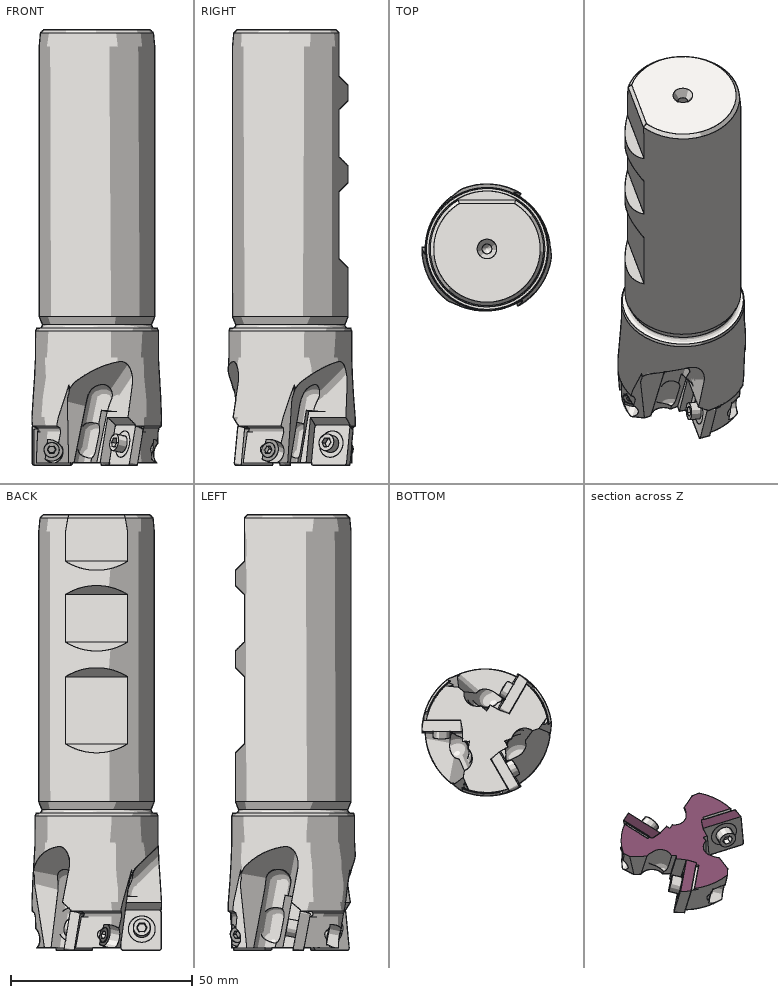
import cadquery as cq
import math

tooth_count = 3
axial_rake = 10.7

overall_length = 120.37
shank_radius = 16.0
shank_bottom = 41.1
lead_length = 4.8
lead_radius = 15.65
end_chamfer = 0.95
groove_radius = 15.1
groove_fillet = 1.0
collar_radius = 17.0
collar_top = 37.9
collar_bottom = 29.7
collar_chamfer = 0.3
collar_chamfer_length = 0.75

head_radius = 17.97
head_cone_bottom = 13.3
head_step = 10.9
step_taper_length = 1.6
step_chamfer = 0.55
step_radius = 17.3
tooth_radius = 17.0
head_bottom = 0.7

flat_y = 13.5
flat_spans = ((-5.0, 12.9), (22.1, 35.2), (44.8, 63.3))

centre_mouth_radius = 2.7
centre_drill_radius = 1.35
centre_cone_depth = 2.4
centre_drill_depth = 5.0

rake_lead = 0.1
wall_n = 2.85
floor_d = 6.35
floor_ref_n = 10.85
floor_swing = 11.0
floor_climb = 4.6
runout_angle = 45.0
bend_start_w = 14.6
bend_radius = 10.0
back_edge_d = 6.8
back_edge_n = 13.1
back_relief_angle = 22.0
back_edge_lean_d = 0.15
back_edge_lean_n = 0.27
wall_fillet = 4.3
channel_n = 7.5
channel_radius = 3.5
channel_d = 7.6
channel_low_w = -5.0
channel_high_w = 18.0
recess_radius = 3.2
recess_n = 6.9
recess_d = 6.6
recess_low_w = 3.1
recess_high_w = 8.5

insert_inner_d = 6.7
insert_outer_d = 17.9
insert_height = 11.4
insert_thickness = 2.9
insert_relief = 11.0
insert_corner = 0.8
chip_space_rise = 1.6
relief_radius = 0.7

screw_d = 12.5
screw_w = 6.0
screw_radius = 2.0
head_seat_radius = 3.7
seat_depth = 2.0
stub_radius = 2.35
stub_height = 2.8
stub_socket = 2.8
stub_socket_depth = 1.8
screw_end_n = -6.8
lock_screw_radius = 2.1
lock_screw_end_n = -8.6
lock_socket = 2.3
lock_socket_depth = 1.5
spotface_radius = 3.1
spotface_n = -8.8

clear = 40.0

sin_rake = math.sin(math.radians(axial_rake))
cos_rake = math.cos(math.radians(axial_rake))


tooth_frame = cq.Plane(origin=(0, rake_lead, 0), xDir=(-1, 0, 0), normal=(0, cos_rake, sin_rake))


def to_tooth_frame(shape):
    """Move a shape modelled with X = d, Y = w, Z = n into the frame of the first tooth."""
    return cq.Workplane(obj=shape.val().moved(cq.Location(tooth_frame)))


def on_tooth(body, index):
    return body.rotate((0, 0, 0), (0, 0, 1), index * 360.0 / tooth_count)


def holder_blank():
    lead_start = overall_length - lead_length
    fillet_top = collar_top + groove_fillet
    arc_offset = groove_fillet * (1 - math.sqrt(0.5))
    profile = (
        cq.Workplane("XZ")
        .moveTo(0, head_bottom)
        .lineTo(tooth_radius, head_bottom)
        .lineTo(tooth_radius, head_step - step_taper_length)
        .lineTo(step_radius, head_step - step_chamfer)
        .lineTo(head_radius, head_step)
        .lineTo(head_radius, head_cone_bottom)
        .lineTo(collar_radius, collar_bottom)
        .lineTo(collar_radius, collar_top - collar_chamfer_length)
        .lineTo(collar_radius - collar_chamfer, collar_top)
        .lineTo(groove_radius + groove_fillet, collar_top)
        .threePointArc((groove_radius + arc_offset, collar_top + arc_offset), (groove_radius, fillet_top))
        .lineTo(shank_radius, shank_bottom)
        .lineTo(shank_radius, lead_start)
        .lineTo(lead_radius, overall_length - end_chamfer)
        .lineTo(lead_radius - end_chamfer, overall_length)
        .lineTo(0, overall_length)
        .close()
    )
    return profile.revolve(360, (0, 0, 0), (0, 1, 0))


def clamping_flats():
    """Flats with 45 degree ends, and the end chamfer carried across the first one."""
    overcut = 1.0
    depth = shank_radius - flat_y + overcut
    cutter = cq.Workplane("YZ")
    for start, end in flat_spans:
        high = overall_length - start
        low = overall_length - end
        cutter = cutter.polyline([
            (flat_y, high),
            (flat_y + depth, high + depth),
            (flat_y + depth, low - depth),
            (flat_y, low),
        ]).close()
    cutter = cutter.extrude(clear, both=True)
    end_cut = (
        cq.Workplane("YZ")
        .polyline([
            (flat_y - end_chamfer, overall_length),
            (flat_y + end_chamfer, overall_length),
            (flat_y, overall_length - end_chamfer),
        ])
        .close()
        .extrude(clear, both=True)
    )
    return cutter.union(end_cut)


def centre_hole():
    return (
        cq.Workplane("XZ", origin=(0, 0, overall_length))
        .polyline([
            (0, 0),
            (centre_mouth_radius, 0),
            (centre_drill_radius, -centre_cone_depth),
            (centre_drill_radius, -centre_drill_depth),
            (0, -centre_drill_depth - centre_drill_radius),
        ])
        .close()
        .revolve(360, (0, 0, 0), (0, 1, 0))
    )


def floor_points():
    """(d, w) points along the gullet floor: bottom, bend start, bend middle, bend end, run-out end."""
    climb = math.radians(floor_climb)
    slope = math.radians(runout_angle)
    below_head = 5.0
    runout_length = 20.0
    bottom = (floor_d - below_head * math.tan(climb), -below_head)
    bend_start = (floor_d + bend_start_w * math.tan(climb), bend_start_w)

    def along_bend(angle):
        out = bend_radius * (math.cos(climb) - math.cos(angle))
        up = bend_radius * (math.sin(angle) - math.sin(climb))
        return (bend_start[0] + out, bend_start[1] + up)

    bend_end = along_bend(slope)
    runout_end = (
        bend_end[0] + runout_length * math.sin(slope),
        bend_end[1] + runout_length * math.cos(slope),
    )
    return bottom, bend_start, along_bend((climb + slope) / 2), bend_end, runout_end


def gullet():
    """Main chip space: a swung floor that bends into the run-out, ahead of the gullet wall.

    The corner at the wall is rounded from the bend upward and sharp below it.
    """
    bottom, bend_start, bend_middle, bend_end, runout_end = floor_points()
    space = (
        cq.Workplane("XY")
        .moveTo(*bottom)
        .lineTo(*bend_start)
        .threePointArc(bend_middle, bend_end)
        .lineTo(*runout_end)
        .lineTo(clear, runout_end[1])
        .lineTo(clear, bottom[1])
        .close()
        .extrude(clear, both=True)
        .translate((0, 0, floor_ref_n))
        .rotate((floor_d, 0, floor_ref_n), (floor_d, 1, floor_ref_n), floor_swing)
    )
    ahead_of_wall = cq.Workplane("XY").box(4 * clear, 4 * clear, clear, centered=(True, True, False))
    space = space.intersect(ahead_of_wall.translate((0, 0, wall_n)))
    sharp_part = space.intersect(cq.Workplane("XY").box(4 * clear, 2 * bend_start_w, 4 * clear))
    return space.faces("<Z").edges().fillet(wall_fillet).union(sharp_part)


def back_relief():
    """Planar relief on the back of the next tooth, beyond the far edge of the gullet floor."""
    height = 24.0
    below = 4.0
    angle = math.radians(back_relief_angle)
    reach = 12.0

    def corners(w):
        d = back_edge_d + back_edge_lean_d * w
        n = back_edge_n + back_edge_lean_n * w
        back_d = d - reach * math.sin(angle)
        back_n = n + reach * math.cos(angle)
        return [(d, n), (d + clear, n), (d + clear, back_n), (back_d, back_n)]

    def section(w):
        vectors = [cq.Vector(d, w, n) for d, n in corners(w)]
        return cq.Wire.makePolygon(vectors, close=True)

    return cq.Workplane(obj=cq.Solid.makeLoft([section(-below), section(height - below)], True))


def ball_ended_slot(radius, d, n, low_w, high_w):
    """Round slot with ball ends that climbs parallel to the gullet floor; d is its centre at w = 0."""
    lean = math.tan(math.radians(floor_climb))
    low = cq.Vector(d + lean * low_w, low_w, n)
    high = cq.Vector(d + lean * high_w, high_w, n)
    axis = high - low
    slot = cq.Workplane(obj=cq.Solid.makeCylinder(radius, axis.Length, low, axis))
    for end in (low, high):
        slot = slot.union(cq.Workplane("XY").sphere(radius).translate(end.toTuple()))
    return slot


def round_channel():
    """Channel along the gullet, open at the bottom of the head."""
    return ball_ended_slot(channel_radius, channel_d, channel_n, channel_low_w, channel_high_w)


def driver_recess():
    """Recess in the channel beside the protruding screw stub."""
    return ball_ended_slot(recess_radius, recess_d, recess_n, recess_low_w, recess_high_w)


def insert_blank():
    width = insert_outer_d - insert_inner_d
    return (
        cq.Workplane("XY")
        .center(insert_inner_d + width / 2, insert_height / 2)
        .sketch()
        .rect(width, insert_height)
        .vertices()
        .fillet(insert_corner)
        .finalize()
        .extrude(-insert_thickness, taper=insert_relief)
    )


def insert_pocket():
    """Seat of the insert, the chip space ahead of it and a relief groove along the seat."""
    chip_space = (
        cq.Workplane("YZ", origin=(insert_inner_d, 0, 0))
        .polyline([
            (-clear, 0),
            (insert_height, 0),
            (insert_height + chip_space_rise, wall_n),
            (-clear, wall_n),
        ])
        .close()
        .extrude(clear)
    )
    inset = insert_thickness * math.tan(math.radians(insert_relief))
    groove = (
        cq.Workplane("YZ", origin=(insert_inner_d + insert_corner + inset, 0, 0))
        .center(insert_height - inset, -insert_thickness)
        .circle(relief_radius)
        .extrude(clear)
    )
    return insert_blank().union(chip_space).union(groove)


def screw_bore():
    """Screw hole through the tooth with a spotface where it leaves the back."""
    centre = cq.Workplane("XY").center(screw_d, screw_w)
    front = centre.circle(screw_radius).extrude(screw_end_n)
    rear = centre.workplane(offset=screw_end_n).circle(lock_screw_radius).extrude(-clear / 2)
    spotface = centre.workplane(offset=spotface_n).circle(spotface_radius).extrude(-clear / 4)
    return front.union(rear).union(spotface)


def flute_cutters():
    return (gullet(), back_relief(), round_channel(), driver_recess(), insert_pocket(), screw_bore())


def make_holder():
    holder = holder_blank().cut(clamping_flats()).cut(centre_hole())
    below_collar = cq.Workplane("XY").circle(clear).extrude(collar_bottom + clear).translate((0, 0, -clear))
    for cutter in flute_cutters():
        placed = to_tooth_frame(cutter).intersect(below_collar)
        for index in range(tooth_count):
            holder = holder.cut(on_tooth(placed, index))
    return holder


def screw_profile():
    return (
        cq.Workplane("XZ")
        .polyline([
            (0, screw_end_n),
            (screw_radius, screw_end_n),
            (screw_radius, -seat_depth),
            (head_seat_radius, 0),
            (stub_radius, 0),
            (stub_radius, stub_height),
            (0, stub_height),
        ])
        .close()
        .revolve(360, (0, 0, 0), (0, 1, 0))
        .translate((screw_d, screw_w, 0))
    )


def make_insert():
    return to_tooth_frame(insert_blank().cut(screw_profile()))


def make_clamp_screw():
    socket = (
        cq.Workplane("XY", origin=(screw_d, screw_w, stub_height))
        .polygon(6, stub_socket)
        .extrude(-stub_socket_depth)
    )
    return to_tooth_frame(screw_profile().cut(socket))


def make_lock_screw():
    centre = cq.Workplane("XY", origin=(screw_d, screw_w, lock_screw_end_n))
    body = centre.circle(lock_screw_radius).extrude(screw_end_n - lock_screw_end_n)
    socket = centre.polygon(6, lock_socket).extrude(lock_socket_depth)
    return to_tooth_frame(body.cut(socket))


holder = make_holder()
bodies = [holder.val()]
for part in (make_insert(), make_clamp_screw(), make_lock_screw()):
    for index in range(tooth_count):
        bodies.append(on_tooth(part, index).val())

result = cq.Compound.makeCompound(bodies)